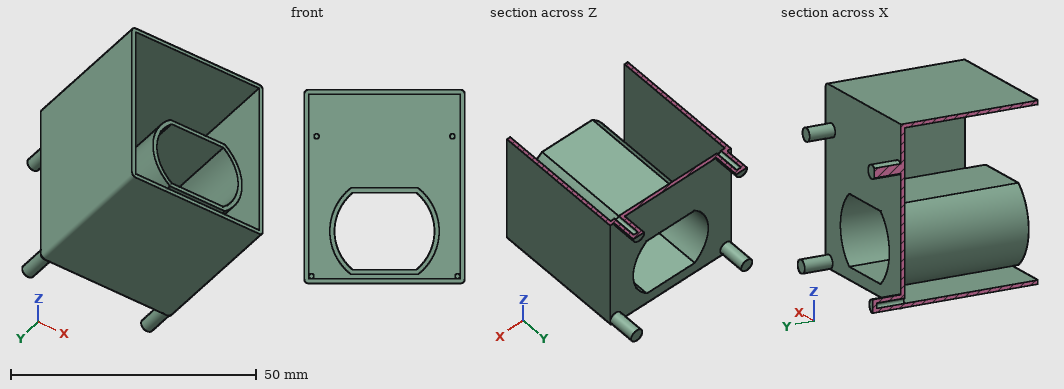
import cadquery as cq

width = 32.7
height = 39.45
box_depth = 32.0
overall_depth = 38.5
wall = 1.0
corner_radius = 1.0

tube_center_z = 10.65
tube_radius = 11.12
tube_half_height = 8.8

post_radius = 1.5
hole_radius = 0.5
lower_post_x = width / 2 - post_radius
lower_post_z = post_radius
upper_post_x = 13.8
upper_post_z = 29.95
lower_post_length = overall_depth - box_depth
upper_left_length = 6.15
upper_right_length = 5.95
hole_end_thickness = 1.0

posts = [
    (-lower_post_x, lower_post_z, lower_post_length),
    (lower_post_x, lower_post_z, lower_post_length),
    (-upper_post_x, upper_post_z, upper_left_length),
    (upper_post_x, upper_post_z, upper_right_length),
]


def block(size_x, size_z, start_y, end_y, center_z):
    """Block centered on X, spanning start_y to end_y."""
    box = cq.Workplane("XY").box(size_x, end_y - start_y, size_z, centered=(True, False, True))
    return box.translate((0, start_y, center_z))


def rod(x, z, radius, start_y, end_y):
    """Round rod along Y."""
    return cq.Workplane("XZ", origin=(x, start_y, z)).circle(radius).extrude(start_y - end_y)


def flattened_rod(radius, half_height):
    """Full-depth rod along Y with flat top and bottom."""
    flats = block(2 * radius, 2 * half_height, 0, box_depth, tube_center_z)
    return rod(0, tube_center_z, radius, 0, box_depth).intersect(flats)


inner_depth = box_depth - wall
cavity = block(width - 2 * wall, height - 2 * wall, 0, inner_depth, height / 2)
shell = block(width, height, 0, box_depth, height / 2).edges("|Y").fillet(corner_radius)
result = shell.cut(cavity)

result = result.union(flattened_rod(tube_radius, tube_half_height))
result = result.cut(flattened_rod(tube_radius - wall, tube_half_height - wall))

for x, z, length in posts:
    result = result.union(rod(x, z, post_radius, box_depth, box_depth + length))

for x, z, length in posts:
    hole_end = box_depth + length - hole_end_thickness
    result = result.cut(rod(x, z, hole_radius, inner_depth, hole_end))